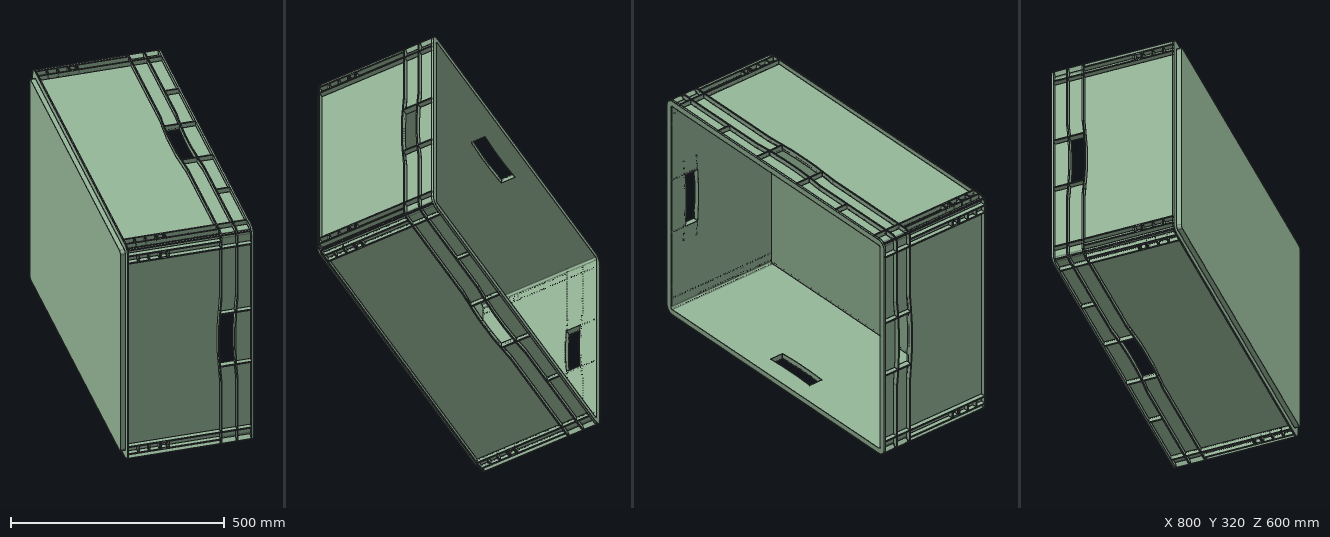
import cadquery as cq

LENGTH = 800.0
WIDTH = 600.0
HEIGHT = 320.0
CORNER_RADIUS = 20.0

RIB_DEPTH = 12.0
WALL = 3.0
FOOT_INSET = 18.0
FOOT_HEIGHT = 12.0
FOOT_RADIUS = 8.0

RIB = 3.0
RIM_THICKNESS = 5.0
UPPER_RING = 279.0
LOWER_RING = 239.5
SAG_HALF = 115.0
SAG = 6.0

CORNER_RIB = 20.0
INNER_RIB = 40.0
HANDLE_HALF = 72.0

LADDER_PITCH = 25.9
LADDER_RUNGS = 3
LADDER_TOP = 111.0
SOCKET_SIDE_PAD = 2.0
SOCKET_LEDGE = 3.0
SOCKET_LEDGE_DROP = 2.0

EMBED = WALL / 2


def prism(inset, radius, y_low, y_high):
    """Rounded block of the container's plan size, reduced by inset on every side."""
    block = cq.Workplane("XY").box(LENGTH - 2 * inset, y_high - y_low, WIDTH - 2 * inset)
    return block.edges("|Y").fillet(radius).translate((0, (y_low + y_high) / 2, 0))


def make_shell():
    """Thin walls round a solid floor with a stepped-in foot, open toward +Y."""
    floor_top = FOOT_HEIGHT + RIB
    inner_inset = RIB_DEPTH + WALL
    wall = prism(RIB_DEPTH, CORNER_RADIUS - RIB_DEPTH, FOOT_HEIGHT, HEIGHT)
    foot = prism(FOOT_INSET, FOOT_RADIUS, 0, floor_top)
    cavity = prism(inner_inset, CORNER_RADIUS - inner_inset, floor_top, HEIGHT)
    return wall.union(foot).cut(cavity)


def make_ring(y_low, thickness):
    """Flange round the wall, out to the full plan size."""
    hole_inset = RIB_DEPTH + EMBED
    outer = prism(0, CORNER_RADIUS, y_low, y_low + thickness)
    return outer.cut(prism(hole_inset, CORNER_RADIUS - hole_inset, y_low, y_low + thickness))


def wall_block(reach, u_low, u_high, y_low, y_high):
    """Rib block on the +Z side of a wall whose rib tips lie at Z = reach."""
    depth = RIB_DEPTH + EMBED
    block = cq.Workplane("XY").box(u_high - u_low, y_high - y_low, depth, centered=False)
    return block.translate((u_low, y_low, reach - RIB_DEPTH - EMBED))


def bowed_band(y_low, y_high, half):
    """Outline between two parallel bowed curves, cut off square at X = +-half."""
    radius = (SAG_HALF**2 + SAG**2) / (2 * SAG)
    end_sag = SAG - radius + (radius**2 - half**2) ** 0.5
    return (
        cq.Workplane("XY")
        .moveTo(-half, y_low - end_sag)
        .threePointArc((0, y_low - SAG), (half, y_low - end_sag))
        .lineTo(half, y_high - end_sag)
        .threePointArc((0, y_high - SAG), (-half, y_high - end_sag))
        .close()
    )


def bow_ring(part, reach, y_low):
    """Swap the middle of a straight ring for a stretch that bows toward the floor."""
    base = reach - RIB_DEPTH
    gap = cq.Workplane("XY").box(2 * SAG_HALF, RIB, RIB_DEPTH, centered=(True, False, False))
    band = bowed_band(y_low, y_low + RIB, SAG_HALF).extrude(RIB_DEPTH + EMBED)
    part = part.cut(gap.translate((0, y_low, base)))
    return part.union(band.translate((0, 0, base - EMBED)))


def end_ribs(half, reach):
    """Corner rib, inner rib, ladder and socket at the +X end of a wall."""
    corner = half - CORNER_RIB
    inner = half - INNER_RIB
    ribs = wall_block(reach, corner - RIB, corner, FOOT_HEIGHT, LOWER_RING + RIB)
    ribs = ribs.union(wall_block(reach, inner - RIB, inner, FOOT_HEIGHT, HEIGHT))
    rungs = [FOOT_HEIGHT + LADDER_PITCH * (i + 1) for i in range(LADDER_RUNGS)]
    for y_low in rungs + [LADDER_TOP]:
        ribs = ribs.union(wall_block(reach, inner - RIB, corner, y_low, y_low + RIB))

    return add_socket(ribs, reach, inner - RIB, corner, rungs[-1] + RIB)


def add_socket(ribs, reach, u_low, u_high, y_low):
    """Narrow the top cell of the ladder to a small pocket with a sunk ledge above and below."""
    frame = RIB + SOCKET_SIDE_PAD
    pocket_low = y_low + SOCKET_LEDGE
    pocket_high = LADDER_TOP - SOCKET_LEDGE
    ribs = ribs.union(wall_block(reach, u_low, u_high, y_low, LADDER_TOP))
    ribs = ribs.cut(wall_block(reach, u_low + frame, u_high - frame, pocket_low, pocket_high))
    for ledge_low in (y_low, pocket_high):
        ledge_high = ledge_low + SOCKET_LEDGE
        groove = wall_block(reach, u_low + RIB, u_high - RIB, ledge_low, ledge_high)
        groove = groove.translate((0, 0, RIB_DEPTH + EMBED - SOCKET_LEDGE_DROP))
        ribs = ribs.cut(groove)
    return ribs


def upright_ribs(half, with_middle_rib):
    """Spans (u, y_low) of the ribs from the handle to the +X end of a wall."""
    spans = [(HANDLE_HALF, LOWER_RING - SAG / 2)]
    if with_middle_rib:
        spans.append(((HANDLE_HALF + half - INNER_RIB - RIB) / 2, UPPER_RING))
    return spans


def dress_wall(part, half, reach, with_middle_rib):
    """Add the ribs, bowed rings and handle opening to the wall on the +Z side."""
    for y_low in (UPPER_RING, LOWER_RING):
        part = bow_ring(part, reach, y_low)

    ribs = end_ribs(half, reach)
    for u_low, y_low in upright_ribs(half, with_middle_rib):
        ribs = ribs.union(wall_block(reach, u_low, u_low + RIB, y_low, HEIGHT))
    part = part.union(ribs).union(ribs.mirror("YZ"))

    through = RIB_DEPTH + 2 * WALL
    opening = bowed_band(LOWER_RING + RIB, UPPER_RING, HANDLE_HALF).extrude(through)
    return part.cut(opening.translate((0, 0, reach - through)))


def corner_webs():
    """Diagonal ribs, one up each of the four rounded corners."""
    hole_inset = RIB_DEPTH + EMBED
    web_height = HEIGHT - FOOT_HEIGHT
    envelope = prism(0, CORNER_RADIUS, FOOT_HEIGHT, HEIGHT)
    envelope = envelope.cut(prism(hole_inset, CORNER_RADIUS - hole_inset, FOOT_HEIGHT, HEIGHT))
    webs = []
    for x_sign in (-1, 1):
        for z_sign in (-1, 1):
            bar = cq.Workplane("XY").box(2 * CORNER_RADIUS, web_height, RIB)
            bar = bar.rotate((0, 0, 0), (0, 1, 0), -45 * x_sign * z_sign)
            x = x_sign * (LENGTH - CORNER_RADIUS) / 2
            y = FOOT_HEIGHT + web_height / 2
            z = z_sign * (WIDTH - CORNER_RADIUS) / 2
            webs.append(bar.translate((x, y, z)).intersect(envelope))
    return webs


def make_container():
    container = make_shell()
    for ring_low in (FOOT_HEIGHT, LOWER_RING, UPPER_RING):
        container = container.union(make_ring(ring_low, RIB))
    container = container.union(make_ring(HEIGHT - RIM_THICKNESS, RIM_THICKNESS))
    for web in corner_webs():
        container = container.union(web)

    long_wall = (LENGTH / 2, WIDTH / 2, True)
    short_wall = (WIDTH / 2, LENGTH / 2, False)
    for half, reach, with_middle_rib in (long_wall, short_wall, long_wall, short_wall):
        container = dress_wall(container, half, reach, with_middle_rib)
        container = container.rotate((0, 0, 0), (0, 1, 0), 90)
    return container


result = make_container()